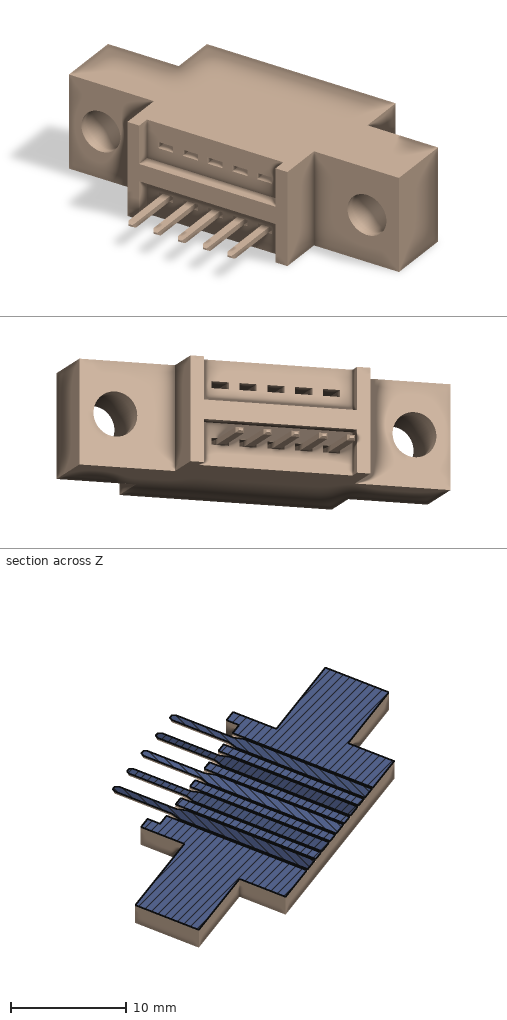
import cadquery as cq


overall_length = 33.9
height = 9.4
rear_block_length = 19.4
rear_block_depth = 4.58
flange_depth = 6.35
front_block_length = 16.45
front_block_depth = 4.3
housing_depth = rear_block_depth + flange_depth + front_block_depth

hole_diameter = 4.0
hole_spacing = 27.33

recess_length = 14.0
recess_depth = 1.25
web_thickness = 1.73

contact_count = 5
contact_pitch = 2.55
slot_width = 1.55
slot_height = 0.6
slot_row_offset = 2.5

contact_thickness = 0.5
contact_width = 1.32
tail_width = 0.75
tail_protrusion = 4.45
shoulder_setback = 0.35
shoulder_length = 0.88
tip_length = 0.3
tip_width = 0.37
tip_thickness = 0.17

contact_positions = [(i - (contact_count - 1) / 2) * contact_pitch for i in range(contact_count)]
slot_floor = -slot_row_offset - slot_height / 2


def block(length, front, depth):
    """Full-height block centred on X, reaching back from its front face."""
    return cq.Workplane("XY", origin=(0, front, 0)).box(
        length, depth, height, centered=(True, False, True)
    )


def make_body():
    """Stepped block: narrow front, wide flange, middle-width rear."""
    front_block = block(front_block_length, 0, front_block_depth)
    flange = block(overall_length, front_block_depth, flange_depth)
    rear_block = block(rear_block_length, front_block_depth + flange_depth, rear_block_depth)
    return front_block.union(flange).union(rear_block)


def cut_mounting_holes(body):
    holes = (
        cq.Workplane("XZ")
        .pushPoints([(-hole_spacing / 2, 0), (hole_spacing / 2, 0)])
        .circle(hole_diameter / 2)
        .extrude(-housing_depth)
    )
    return body.cut(holes)


def cut_recesses(body):
    """Cut the front pocket above and below the central web."""
    recess_height = (height - web_thickness) / 2
    recess_offset = (web_thickness + recess_height) / 2
    recesses = (
        cq.Workplane("XZ")
        .pushPoints([(0, -recess_offset), (0, recess_offset)])
        .rect(recess_length, recess_height)
        .extrude(-recess_depth)
    )
    return body.cut(recesses)


def cut_slots(body):
    slot_centres = [(x, z) for x in contact_positions for z in (-slot_row_offset, slot_row_offset)]
    slots = (
        cq.Workplane("XZ")
        .pushPoints(slot_centres)
        .rect(slot_width, slot_height)
        .extrude(-housing_depth)
    )
    return body.cut(slots)


def make_contact(x):
    """Flat contact with a tapered shoulder, a narrow tail and a pyramid tip."""
    tip_base = tip_length - tail_protrusion
    shoulder_start = recess_depth + shoulder_setback
    blade_start = shoulder_start + shoulder_length
    blade = (
        cq.Workplane("XY")
        .moveTo(-tail_width / 2, tip_base)
        .lineTo(-tail_width / 2, shoulder_start)
        .lineTo(-contact_width / 2, blade_start)
        .lineTo(-contact_width / 2, housing_depth)
        .lineTo(contact_width / 2, housing_depth)
        .lineTo(contact_width / 2, blade_start)
        .lineTo(tail_width / 2, shoulder_start)
        .lineTo(tail_width / 2, tip_base)
        .close()
        .extrude(contact_thickness)
        .translate((0, 0, -contact_thickness / 2))
    )
    tip = (
        cq.Workplane("XZ", origin=(0, tip_base, 0))
        .rect(tail_width, contact_thickness)
        .workplane(offset=tip_length)
        .rect(tip_width, tip_thickness)
        .loft(ruled=True)
    )
    return blade.union(tip).translate((x, 0, slot_floor + contact_thickness / 2))


housing = cut_slots(cut_recesses(cut_mounting_holes(make_body())))
contacts = [make_contact(x) for x in contact_positions]

result = cq.Compound.makeCompound([housing.val(), *[contact.val() for contact in contacts]])